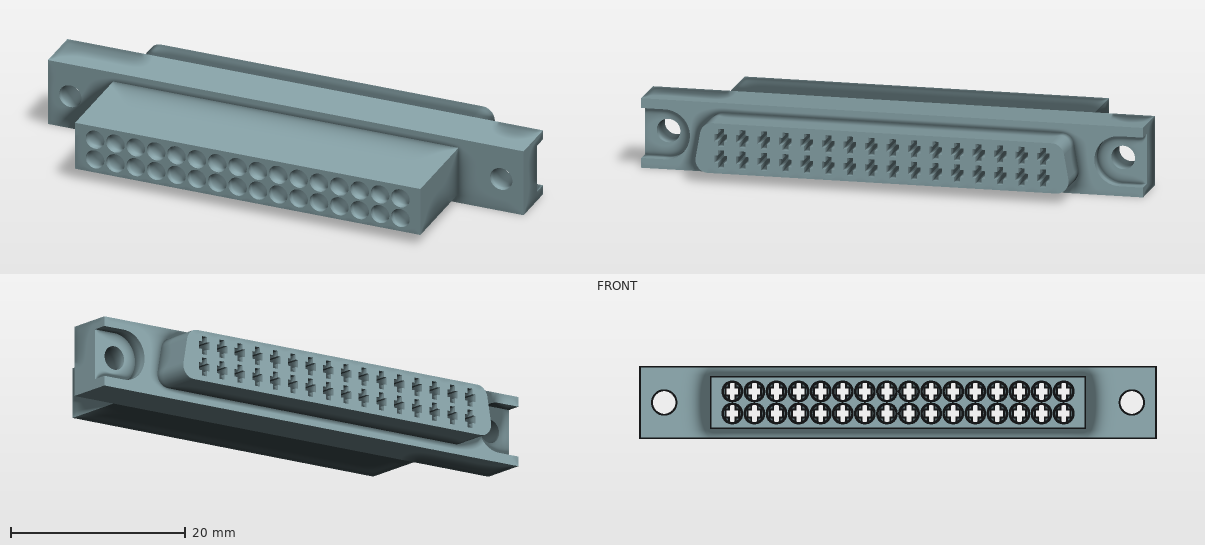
import cadquery as cq
import math

FLANGE_LENGTH = 59.3
FLANGE_DEPTH = 5.75
FLANGE_HEIGHT = 8.25

BLOCK_LENGTH = 43.05
BLOCK_DEPTH = 11.3
BODY_HEIGHT = 5.95

PLUG_DEPTH = 5.0
PLUG_TOP_FLAT = 40.1
PLUG_CORNER_RADIUS = 1.5
PLUG_SIDE_ANGLE = 10.0

MOUNT_SPACING = 53.75
MOUNT_DIAMETER = 2.8
END_SLOT_DEPTH = 1.85

COLUMN_COUNT = 16
ROW_COUNT = 2
CONTACT_ROW_LENGTH = 38.1
CONTACT_PITCH = CONTACT_ROW_LENGTH / (COLUMN_COUNT - 1)
CONTACT_ENTRY_DIAMETER = 2.3
CONTACT_ENTRY_DEPTH = BLOCK_DEPTH / 2
CONTACT_BORE_DIAMETER = 2.15
CONTACT_BORE_DEPTH = BLOCK_DEPTH

PASSAGE_SLOT_WIDTH = 0.7
PASSAGE_SLOT_HEIGHT = CONTACT_BORE_DIAMETER
PASSAGE_BAR_WIDTH = 1.5
PASSAGE_BAR_HEIGHT = 0.9
GROOVE_DEPTH = 0.6

BLOCK_REAR_Y = -BLOCK_DEPTH
FLANGE_FACE_Y = FLANGE_DEPTH
PLUG_FACE_Y = FLANGE_FACE_Y + PLUG_DEPTH


def plane_at(y):
    """XZ plane at the given Y: local x is X, local y is Z, and a negative extrusion goes toward +Y."""
    return cq.Workplane("XZ", origin=(0, y, 0))


def box_along_y(length, height, start_y, depth):
    return plane_at(start_y).rect(length, height).extrude(-depth)


def plug():
    """Trapezoid with its four corners rounded, running from the flange face toward +Y."""
    half_height = BODY_HEIGHT / 2
    slant = math.radians(PLUG_SIDE_ANGLE)
    top_turn = math.pi / 2 - slant
    top_x = PLUG_TOP_FLAT / 2 + PLUG_CORNER_RADIUS * math.tan(top_turn / 2)
    bottom_x = top_x + BODY_HEIGHT * math.tan(slant)
    corners = [
        (-bottom_x, -half_height),
        (bottom_x, -half_height),
        (top_x, half_height),
        (-top_x, half_height),
    ]
    prism = plane_at(FLANGE_FACE_Y).polyline(corners).close().extrude(-PLUG_DEPTH)
    return prism.edges("|Y").fillet(PLUG_CORNER_RADIUS)


def end_slot(side):
    """Slot open at one flange end, its round inner end concentric with the mounting hole."""
    centre_x = side * MOUNT_SPACING / 2
    end_x = side * FLANGE_LENGTH / 2
    floor = plane_at(FLANGE_FACE_Y - END_SLOT_DEPTH)
    round_end = floor.center(centre_x, 0).circle(BODY_HEIGHT / 2).extrude(-END_SLOT_DEPTH)
    open_end = (
        floor.center((centre_x + end_x) / 2, 0)
        .rect(abs(end_x - centre_x), BODY_HEIGHT)
        .extrude(-END_SLOT_DEPTH)
    )
    return round_end.union(open_end)


def mounting_holes():
    centres = [(-MOUNT_SPACING / 2, 0), (MOUNT_SPACING / 2, 0)]
    return plane_at(0).pushPoints(centres).circle(MOUNT_DIAMETER / 2).extrude(-FLANGE_DEPTH)


def contact_grid(y):
    return plane_at(y).rarray(CONTACT_PITCH, CONTACT_PITCH, COLUMN_COUNT, ROW_COUNT)


def contact_bores(diameter, depth):
    return contact_grid(BLOCK_REAR_Y).circle(diameter / 2).extrude(-depth)


def contact_grooves(floor_y):
    """Groove of the passage bar's height across each bore floor, clipped to the bore."""
    bars = contact_grid(floor_y).rect(CONTACT_BORE_DIAMETER, PASSAGE_BAR_HEIGHT).extrude(-GROOVE_DEPTH)
    bores = contact_bores(CONTACT_BORE_DIAMETER, CONTACT_BORE_DEPTH + GROOVE_DEPTH)
    return bars.intersect(bores)


def contact_passages(floor_y):
    """Upright slot crossed by a horizontal bar, open through the plug face."""
    length = PLUG_FACE_Y - floor_y
    slots = contact_grid(floor_y).rect(PASSAGE_SLOT_WIDTH, PASSAGE_SLOT_HEIGHT).extrude(-length)
    bars = contact_grid(floor_y).rect(PASSAGE_BAR_WIDTH, PASSAGE_BAR_HEIGHT).extrude(-length)
    return slots.union(bars)


flange = box_along_y(FLANGE_LENGTH, FLANGE_HEIGHT, 0, FLANGE_DEPTH)
rear_block = box_along_y(BLOCK_LENGTH, BODY_HEIGHT, BLOCK_REAR_Y, BLOCK_DEPTH)
result = flange.union(rear_block).union(plug())

for side in (-1, 1):
    result = result.cut(end_slot(side))

result = result.cut(mounting_holes())

bore_floor_y = BLOCK_REAR_Y + CONTACT_BORE_DEPTH
result = result.cut(contact_bores(CONTACT_ENTRY_DIAMETER, CONTACT_ENTRY_DEPTH))
result = result.cut(contact_bores(CONTACT_BORE_DIAMETER, CONTACT_BORE_DEPTH))
result = result.cut(contact_grooves(bore_floor_y))
result = result.cut(contact_passages(bore_floor_y))